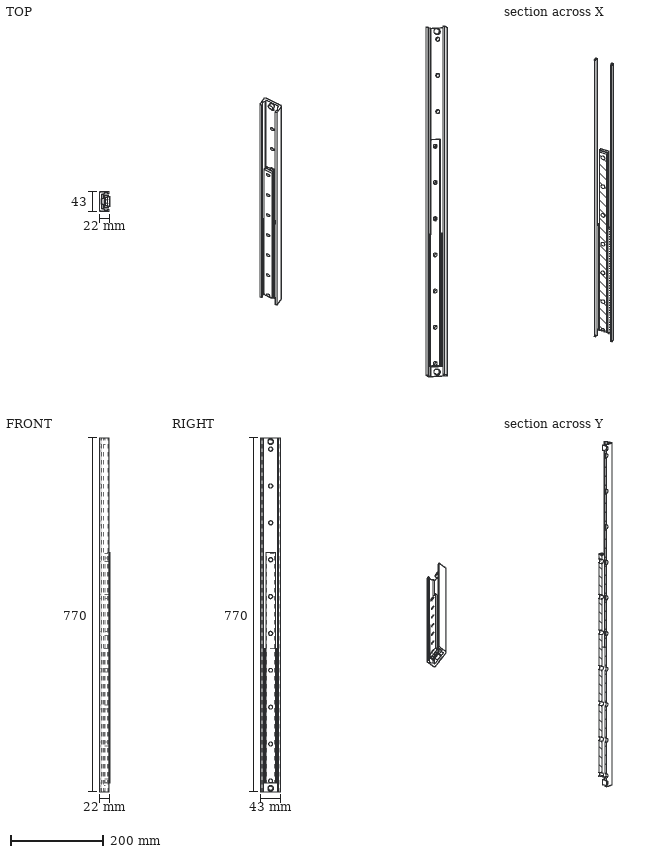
import cadquery as cq


length = 770.0
depth = 22.0
width = 43.0
back_x = -depth / 2
front_x = depth / 2

slider_overhang = 1.5
rail_front_x = front_x - slider_overhang
half_width = width / 2
web_thickness = 5.0
web_inner_x = back_x + web_thickness
flange_inner_y = 15.5
back_radius = 3.0
groove_start_x = -2.0
groove_mid_x = 2.0
groove_end_x = 7.0
groove_bottom_y = 18.5
lip_inner_y = 17.0
lip_taper_length = 1.5
lip_taper_start_x = rail_front_x - lip_taper_length
lip_taper_drop = 0.15

hole_count = 10
hole_pitch = 80.0
hole_diameter = 8.5
first_hole_z = -hole_pitch * (hole_count - 1) / 2

pin_z = 376.5
pin_shank_diameter = 10.0
pin_head_diameter = 12.0
pin_end_chamfer = 1.0
pin_head_front_x = 0.4

slider_bottom_z = -365.0
slider_length = 500.5
plate_thickness = 5.5
plate_width = 21.0
plate_back_x = front_x - plate_thickness
neck_thickness = 5.0
neck_width = 18.0
neck_setback = 1.5
slider_hole_count = 7

cage_length = 292.5
cage_back_x = -3.5
cage_web_thickness = 3.0
cage_leg_thickness = 2.0
cage_width = 29.0
cage_leg_front_x = 8.5


def box(x_range, y_width, z_range):
    """Block between two X and two Z positions, centred on Y = 0."""
    (x0, x1), (z0, z1) = x_range, z_range
    corner = cq.Workplane("XY", origin=(x0, 0, z0))
    return corner.box(x1 - x0, y_width, z1 - z0, centered=(False, True, False))


def x_cylinder(diameter, x0, x1, z):
    """Round bar along X, between two X positions, at Y = 0."""
    return cq.Workplane("YZ", origin=(x0, 0, z)).circle(diameter / 2).extrude(x1 - x0)


def mounting_hole_cutters(count):
    """Cutters through the full depth, for the lowest `count` positions of the hole row."""
    cutters = cq.Workplane("XY")
    for i in range(count):
        cutters = cutters.add(x_cylinder(hole_diameter, back_x, front_x, first_hole_z + i * hole_pitch))
    return cutters.combine()


def make_rail():
    """C-section rail with a ball groove inside each flange, mounting holes and pin holes."""
    rail = (
        cq.Workplane("XY", origin=(0, 0, -length / 2))
        .moveTo(back_x, 0)
        .lineTo(back_x, half_width)
        .lineTo(lip_taper_start_x, half_width)
        .lineTo(rail_front_x, half_width - lip_taper_drop)
        .lineTo(rail_front_x, lip_inner_y)
        .lineTo(groove_end_x, lip_inner_y)
        .threePointArc((groove_mid_x, groove_bottom_y), (groove_start_x, flange_inner_y))
        .lineTo(web_inner_x, flange_inner_y)
        .lineTo(web_inner_x, 0)
        .mirrorX()
        .extrude(length)
    )
    rail = rail.edges("|Z and <X").fillet(back_radius)
    rail = rail.cut(mounting_hole_cutters(hole_count))
    for z in (-pin_z, pin_z):
        rail = rail.cut(x_cylinder(pin_shank_diameter, back_x, web_inner_x, z))
    return rail


def make_pin(z):
    """Stop pin: a chamfered shank flush with the back of the web, and a larger head inside the rail."""
    shank = x_cylinder(pin_shank_diameter, back_x, web_inner_x, z)
    shank = shank.faces("<X").chamfer(pin_end_chamfer)
    head = x_cylinder(pin_head_diameter, web_inner_x, pin_head_front_x, z)
    return shank.union(head)


def make_slider():
    """T-section slider with holes in line with the rail's; its neck stops short of both plate ends."""
    top_z = slider_bottom_z + slider_length
    plate = box((plate_back_x, front_x), plate_width, (slider_bottom_z, top_z))
    neck = box(
        (plate_back_x - neck_thickness, plate_back_x),
        neck_width,
        (slider_bottom_z + neck_setback, top_z - neck_setback),
    )
    return plate.union(neck).cut(mounting_hole_cutters(slider_hole_count))


def make_cage():
    """Channel whose web lies behind the slider's neck and whose legs pass beside it."""
    z_range = (slider_bottom_z, slider_bottom_z + cage_length)
    outside = box((cage_back_x, cage_leg_front_x), cage_width, z_range)
    inside = box(
        (cage_back_x + cage_web_thickness, cage_leg_front_x),
        cage_width - 2 * cage_leg_thickness,
        z_range,
    )
    return outside.cut(inside)


rail = make_rail()
pins = [make_pin(z) for z in (-pin_z, pin_z)]
slider = make_slider()
cage = make_cage()

result = cq.Compound.makeCompound([rail.val(), *[pin.val() for pin in pins], slider.val(), cage.val()])